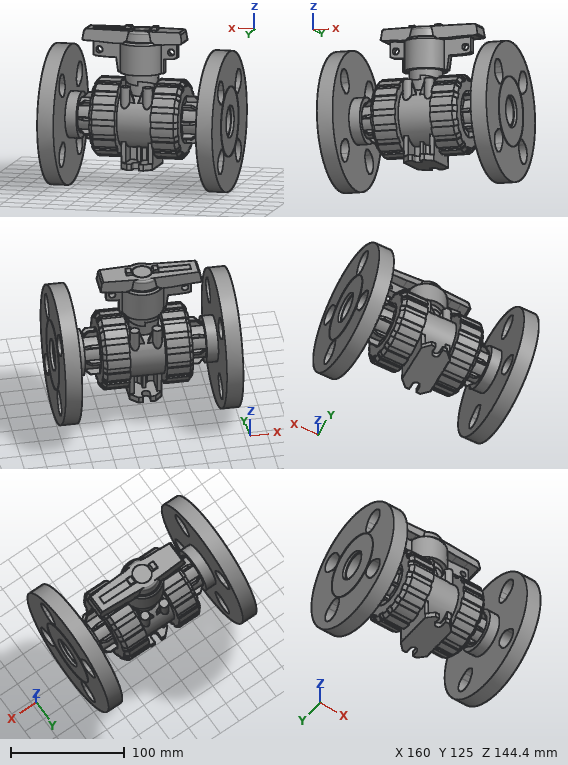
import cadquery as cq
import math


total_length = 160.0
bore_radius = 12.5

flange_radius = 62.5
flange_thickness = 14.8
raised_face_height = 0.5
raised_face_radius = 31.1
flange_face_x = total_length / 2 - raised_face_height
flange_back_x = flange_face_x - flange_thickness
hub_radius = 20.75
hub_end_x = 54.5
bolt_slot_outer_radius = 9.5
bolt_slot_outer_pitch = 45.2
bolt_slot_inner_radius = 7.8
bolt_slot_inner_pitch = 39.6
bolt_count = 4

spigot_radius = 14.2
spigot_recess = 2.6
connector_core_radius = 16.0
connector_rib_radius = 20.8
connector_rib_width = 2.3
connector_rib_count = 8
rib_slope_start_x = 48.5
rib_end_x = 53.5
collar_thickness = 4.3

nut_inner_x = 16.4
nut_outer_x = 40.3
nut_radius = 35.15
nut_chamfer_length = 3.2
nut_chamfer_height = 3.5
grip_groove_depth = 1.8
grip_groove_width = 5.4
grip_groove_count = 16
nut_lip_thickness = 6.0
nut_lip_x = nut_outer_x - nut_lip_thickness

body_radius = 26.3
body_end_x = nut_lip_x - collar_thickness
post_radius = 4.25
post_x = 10.12
post_y = 19.3
post_top_z = 30.5
web_outer_y = 20.5
web_thickness = 2.0
web_top_x = 5.6
web_top_z = 27.2
web_bottom_x = 1.4
web_bottom_z = 16.0
neck_flat_x = 13.1
neck_rib_width = 1.2

foot_half_width = 14.2
foot_half_depth = 25.0
foot_corner_chamfer = 6.6
foot_bottom_z = -43.1
foot_top_z = -37.6
foot_slot_radius = 3.5
foot_slot_center_y = 19.2
leg_thickness = 4.0
leg_half_depth = 18.0
cross_web_thickness = 3.0
foot_hub_radius = 4.8
foot_rib_width = 3.0
foot_rib_half_depth = 10.7

handle_radius = 19.0
handle_bottom_z = 40.7
lever_top_z = 79.0
tab_top_z = 81.93
shoulder_bottom_z = 67.2
shoulder_edge_z = 69.2
shoulder_edge_radius = 17.4
shoulder_top_z = 69.8
cone_base_radius = 16.3
cone_top_radius = 14.8
cone_edge_round = 2.0
skirt_outer_radius = 14.9
skirt_inner_radius = 13.1
skirt_low_z = 31.1
skirt_high_z = 34.7
skirt_slope = 0.34

lever_half_width = 12.7
lever_narrowing = 0.055
lever_draft_angle = 5.5
lever_base_z = 67.6
lever_left_x = -39.0
lever_right_x = 51.8
lever_draft_allowance = 3.0
lever_end_lean = 1.3
lever_edge_bevel = 1.5
lever_edge_z = lever_top_z - 1.7
lever_end_z = 68.6
lever_lip_z = 69.6
lever_lip_height = 1.1
lever_lip_depth = 0.5
lever_lip_bevel = 1.6
underside_step = 0.2
underside_left_outer_x = -28.7
underside_left_inner_x = -18.8
underside_right_inner_x = 25.0
underside_right_outer_x = 38.0

plate_half_thickness = 3.3
plate_slot_half_width = 4.3
plate_slot_top_z = 68.2
ear_left_x = -32.4
ear_right_x = 43.3
ear_right_root_x = 30.8
ear_bevel = 2.6
ear_tip_z = 55.1
ear_bottom_z = 54.0
ear_root_z = 53.4
keel_left_x = -20.8
keel_right_x = 21.0
keel_right_flare = 1.8
keel_bevel = 0.6
lock_hole_radius = 2.9
lock_hole_z = 59.9
lock_hole_left_x = -27.2
lock_hole_right_x = 38.0

cap_radius = 8.7
cap_height = 0.4
pointer_bar_end_x = ear_right_x
pointer_bar_half_width = 3.5
tab_outer_x = 14.4
tab_slope_x = 9.9
tab_inner_x = 8.2

OVERCUT = 1.0


def x_cylinder(radius, x_start, x_end):
    return cq.Workplane("YZ").workplane(offset=x_start).circle(radius).extrude(x_end - x_start)


def z_cylinder(radius, z_start, z_end):
    return cq.Workplane("XY").workplane(offset=z_start).circle(radius).extrude(z_end - z_start)


def block(x_start, x_end, y_start, y_end, z_start, z_end):
    size = (x_end - x_start, y_end - y_start, z_end - z_start)
    return cq.Workplane("XY").box(*size, centered=False).translate((x_start, y_start, z_start))


def side_plate(points, half_thickness):
    """Extrude an XZ outline symmetrically about the XZ plane."""
    return cq.Workplane("XZ").polyline(points).close().extrude(half_thickness, both=True)


def opposite(shape):
    """Turn a part half a turn about the stem axis."""
    return shape.rotate((0, 0, 0), (0, 0, 1), 180)


def bolt_slot():
    """Slot along +Y whose two round ends differ in radius, joined by common tangents."""
    spacing = bolt_slot_outer_pitch - bolt_slot_inner_pitch
    lean = (bolt_slot_outer_radius - bolt_slot_inner_radius) / spacing
    across = math.sqrt(1 - lean ** 2)
    outer_y = bolt_slot_outer_pitch - bolt_slot_outer_radius * lean
    outer_z = bolt_slot_outer_radius * across
    inner_y = bolt_slot_inner_pitch - bolt_slot_inner_radius * lean
    inner_z = bolt_slot_inner_radius * across
    return (
        cq.Workplane("YZ")
        .workplane(offset=flange_back_x - OVERCUT)
        .moveTo(inner_y, -inner_z)
        .lineTo(outer_y, -outer_z)
        .threePointArc((bolt_slot_outer_pitch + bolt_slot_outer_radius, 0), (outer_y, outer_z))
        .lineTo(inner_y, inner_z)
        .threePointArc((bolt_slot_inner_pitch - bolt_slot_inner_radius, 0), (inner_y, -inner_z))
        .close()
        .extrude(flange_thickness + raised_face_height + 2 * OVERCUT)
    )


def make_flange():
    flange = x_cylinder(flange_radius, flange_back_x, flange_face_x)
    flange = flange.union(x_cylinder(raised_face_radius, flange_face_x, total_length / 2))
    flange = flange.union(x_cylinder(hub_radius, hub_end_x, flange_back_x))
    flange = flange.cut(x_cylinder(spigot_radius, hub_end_x, total_length / 2))
    slot = bolt_slot()
    for index in range(bolt_count):
        angle = (index + 0.5) * 360 / bolt_count
        flange = flange.cut(slot.rotate((0, 0, 0), (1, 0, 0), angle))
    return flange


def make_connector():
    connector = x_cylinder(body_radius, body_end_x, nut_lip_x)
    connector = connector.union(x_cylinder(connector_rib_radius, nut_lip_x, nut_outer_x))
    connector = connector.union(x_cylinder(connector_core_radius, nut_outer_x, hub_end_x))
    connector = connector.union(
        x_cylinder(spigot_radius, hub_end_x, total_length / 2 - spigot_recess)
    )
    rib = side_plate(
        [
            (nut_outer_x, bore_radius),
            (nut_outer_x, connector_rib_radius),
            (rib_slope_start_x, connector_rib_radius),
            (rib_end_x, connector_core_radius),
            (rib_end_x, bore_radius),
        ],
        connector_rib_width / 2,
    )
    for index in range(connector_rib_count):
        angle = index * 360 / connector_rib_count
        connector = connector.union(rib.rotate((0, 0, 0), (1, 0, 0), angle))
    return connector.cut(x_cylinder(bore_radius, body_end_x, total_length / 2))


def nut_blank(radius):
    chamfer_x = nut_outer_x - nut_chamfer_length
    return (
        cq.Workplane("XY")
        .moveTo(nut_inner_x, 0)
        .lineTo(nut_inner_x, radius)
        .lineTo(chamfer_x, radius)
        .lineTo(nut_outer_x, radius - nut_chamfer_height)
        .lineTo(nut_outer_x, 0)
        .close()
        .revolve(360, (0, 0, 0), (1, 0, 0))
    )


def make_nut():
    nut = nut_blank(nut_radius)
    groove = block(
        nut_inner_x - OVERCUT,
        nut_outer_x + OVERCUT,
        -grip_groove_width / 2,
        grip_groove_width / 2,
        body_radius,
        nut_radius + OVERCUT,
    )
    for index in range(grip_groove_count):
        angle = index * 360 / grip_groove_count
        nut = nut.cut(groove.rotate((0, 0, 0), (1, 0, 0), angle))
    nut = nut.union(nut_blank(nut_radius - grip_groove_depth))
    nut = nut.cut(x_cylinder(body_radius, nut_inner_x, nut_lip_x))
    return nut.cut(x_cylinder(connector_rib_radius, nut_lip_x, nut_outer_x))


def make_neck():
    """Stem neck with two flats, fitting inside and under the skirt of the handle."""
    shoulder = z_cylinder(skirt_outer_radius, bore_radius, handle_bottom_z)
    flats = block(
        -neck_flat_x,
        neck_flat_x,
        -skirt_outer_radius,
        skirt_outer_radius,
        bore_radius,
        skirt_low_z + skirt_slope * skirt_outer_radius,
    )
    core = z_cylinder(skirt_inner_radius, bore_radius, handle_bottom_z)
    return shoulder.intersect(flats).cut(make_skirt()).union(core)


def make_neck_ribs():
    """Two ribs flush with the neck flats, each joining a front post to a back post."""
    rib = block(
        neck_flat_x - neck_rib_width, neck_flat_x, -post_y, post_y, bore_radius, web_top_z
    )
    return rib.union(opposite(rib))


def make_post_webs():
    """Thin gussets that lean from the posts towards the middle of the body."""
    webs = cq.Workplane("XY")
    for side in (-1, 1):
        outline = [
            (side * post_x, web_bottom_z),
            (side * web_bottom_x, web_bottom_z),
            (side * web_top_x, web_top_z),
            (side * post_x, web_top_z),
        ]
        web = cq.Workplane("XZ", origin=(0, -web_outer_y + web_thickness, 0))
        web = web.polyline(outline).close().extrude(web_thickness)
        webs = webs.add(web).add(opposite(web))
    return webs


def make_foot():
    """Slotted foot plate with two legs, a cross web and a ribbed central hub."""
    plate = block(
        -foot_half_width, foot_half_width, -foot_half_depth, foot_half_depth, foot_bottom_z, foot_top_z
    )
    foot = plate.edges("|Z").chamfer(foot_corner_chamfer)
    slot = z_cylinder(foot_slot_radius, foot_bottom_z, foot_top_z).translate((0, -foot_slot_center_y, 0))
    slot = slot.union(
        block(
            -foot_slot_radius,
            foot_slot_radius,
            -foot_half_depth,
            -foot_slot_center_y,
            foot_bottom_z,
            foot_top_z,
        )
    )
    foot = foot.cut(slot).cut(opposite(slot))
    root_z = -bore_radius
    leg = block(
        foot_half_width - leg_thickness,
        foot_half_width,
        -leg_half_depth,
        leg_half_depth,
        foot_top_z,
        root_z,
    )
    foot = foot.union(leg).union(opposite(leg))
    foot = foot.union(
        block(
            -foot_half_width,
            foot_half_width,
            -cross_web_thickness / 2,
            cross_web_thickness / 2,
            foot_top_z,
            root_z,
        )
    )
    foot = foot.union(z_cylinder(foot_hub_radius, foot_top_z, root_z))
    return foot.union(
        block(
            -foot_rib_width / 2,
            foot_rib_width / 2,
            -foot_rib_half_depth,
            foot_rib_half_depth,
            foot_top_z,
            root_z,
        )
    )


def make_body():
    body = x_cylinder(body_radius, -body_end_x, body_end_x)
    for x in (-post_x, post_x):
        for y in (-post_y, post_y):
            body = body.union(z_cylinder(post_radius, 0, post_top_z).translate((x, y, 0)))
    for web in make_post_webs().vals():
        body = body.union(web)
    body = body.union(make_neck()).union(make_neck_ribs()).union(make_foot())
    return body.cut(x_cylinder(bore_radius, -body_end_x, body_end_x))


def make_handle_hub():
    """Round hub with a bevelled shoulder and a tapered crown."""
    corner = math.sqrt(0.5)
    crown_z = lever_top_z - cone_edge_round
    crown_flat_radius = cone_top_radius - cone_edge_round
    return (
        cq.Workplane("XZ")
        .moveTo(0, handle_bottom_z)
        .lineTo(handle_radius, handle_bottom_z)
        .lineTo(handle_radius, shoulder_bottom_z)
        .lineTo(shoulder_edge_radius, shoulder_edge_z)
        .lineTo(cone_base_radius, shoulder_top_z)
        .lineTo(cone_top_radius, crown_z)
        .threePointArc(
            (crown_flat_radius + cone_edge_round * corner, crown_z + cone_edge_round * corner),
            (crown_flat_radius, lever_top_z),
        )
        .lineTo(0, lever_top_z)
        .close()
        .revolve(360, (0, 0, 0), (0, 1, 0))
    )


def make_skirt():
    """Ring around the neck whose lower edge has two ramps, each ending at a step."""
    skirt = z_cylinder(skirt_outer_radius, skirt_low_z, handle_bottom_z)
    skirt = skirt.cut(z_cylinder(skirt_inner_radius, skirt_low_z, handle_bottom_z))
    rise = skirt_slope * skirt_outer_radius
    reach = skirt_outer_radius + OVERCUT
    floor_z = skirt_low_z - OVERCUT
    falling_ramp = (
        cq.Workplane("YZ")
        .polyline(
            [
                (-reach, floor_z),
                (-reach, skirt_high_z + skirt_slope * OVERCUT),
                (0, skirt_high_z - rise),
                (0, floor_z),
            ]
        )
        .close()
        .extrude(reach)
    )
    rising_ramp = (
        cq.Workplane("YZ")
        .polyline(
            [
                (-reach, floor_z),
                (-skirt_outer_radius, skirt_low_z),
                (0, skirt_low_z + rise),
                (0, floor_z),
            ]
        )
        .close()
        .extrude(-reach)
    )
    for ramp in (falling_ramp, rising_ramp):
        skirt = skirt.cut(ramp).cut(opposite(ramp))
    return skirt


def make_lever():
    """Drafted lever, widest over the stem, trimmed to its side outline."""
    left_half_width = lever_half_width + lever_narrowing * lever_left_x
    right_half_width = lever_half_width - lever_narrowing * lever_right_x
    left_x = lever_left_x - lever_draft_allowance
    right_x = lever_right_x + lever_draft_allowance
    drafted = (
        cq.Workplane("XY")
        .workplane(offset=lever_base_z)
        .polyline(
            [
                (left_x, -left_half_width),
                (0, -lever_half_width),
                (right_x, -right_half_width),
                (right_x, right_half_width),
                (0, lever_half_width),
                (left_x, left_half_width),
            ]
        )
        .close()
        .extrude(lever_top_z - lever_base_z, taper=lever_draft_angle)
    )
    outline = [
        (lever_left_x, lever_lip_z),
        (lever_left_x + lever_lip_depth, lever_lip_z + lever_lip_height),
        (lever_left_x + lever_end_lean, lever_edge_z),
        (lever_left_x + lever_end_lean + lever_edge_bevel, lever_top_z),
        (lever_right_x - lever_end_lean - lever_edge_bevel, lever_top_z),
        (lever_right_x - lever_end_lean, lever_edge_z),
        (lever_right_x, lever_lip_z),
        (lever_right_x - lever_lip_bevel, lever_end_z),
        (underside_right_outer_x, lever_end_z - underside_step),
        (underside_right_inner_x, lever_base_z),
        (underside_left_inner_x, lever_base_z),
        (underside_left_outer_x, lever_end_z - underside_step),
        (lever_left_x + lever_lip_bevel, lever_end_z),
    ]
    return drafted.intersect(side_plate(outline, lever_half_width))


def make_lock_plate():
    """Upright plate under the lever with a padlock hole at each end."""
    outline = [
        (ear_left_x, shoulder_top_z),
        (ear_left_x, ear_tip_z),
        (ear_left_x + ear_bevel, ear_bottom_z),
        (keel_left_x, ear_root_z),
        (keel_left_x, handle_bottom_z + keel_bevel),
        (keel_left_x + keel_bevel, handle_bottom_z),
        (keel_right_x - keel_bevel, handle_bottom_z),
        (keel_right_x, handle_bottom_z + keel_bevel),
        (keel_right_x + keel_right_flare, ear_root_z),
        (ear_right_root_x, ear_root_z),
        (ear_right_x - ear_bevel, ear_bottom_z),
        (ear_right_x, ear_tip_z),
        (ear_right_x, shoulder_top_z),
    ]
    plate = side_plate(outline, plate_half_thickness)
    holes = (
        cq.Workplane("XZ")
        .pushPoints([(lock_hole_left_x, lock_hole_z), (lock_hole_right_x, lock_hole_z)])
        .circle(lock_hole_radius)
        .extrude(plate_half_thickness, both=True)
    )
    return plate.cut(holes)


def make_pointer():
    """Raised cap, pointer bar and two tabs on top of the lever."""
    cap_top_z = lever_top_z + cap_height
    pointer = z_cylinder(cap_radius, shoulder_top_z, cap_top_z)
    pointer = pointer.union(
        block(
            0,
            pointer_bar_end_x,
            -pointer_bar_half_width,
            pointer_bar_half_width,
            shoulder_top_z,
            cap_top_z,
        )
    )
    for side in (-1, 1):
        outline = [
            (side * tab_outer_x, shoulder_top_z),
            (side * tab_outer_x, tab_top_z),
            (side * tab_slope_x, tab_top_z),
            (side * tab_inner_x, cap_top_z),
            (side * tab_inner_x, shoulder_top_z),
        ]
        pointer = pointer.union(side_plate(outline, plate_half_thickness))
    return pointer


def make_handle():
    handle = make_handle_hub().union(make_lever())
    handle = handle.cut(
        block(
            -handle_radius,
            handle_radius,
            -plate_slot_half_width,
            plate_slot_half_width,
            handle_bottom_z,
            plate_slot_top_z,
        )
    )
    return handle.union(make_lock_plate()).union(make_pointer()).union(make_skirt())


body = make_body()
handle = make_handle()
solids = [body.val(), handle.val()]
for make_end_part in (make_nut, make_connector, make_flange):
    end_part = make_end_part()
    solids.append(end_part.val())
    solids.append(opposite(end_part).val())

result = cq.Compound.makeCompound(solids)